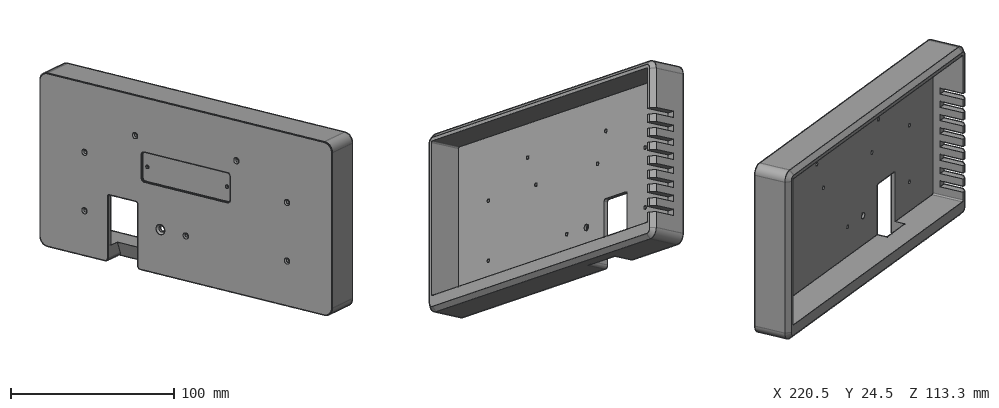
import cadquery as cq
import math

length = 220.5
depth = 24.5
height = 113.3
corner_radius = 6.0
front_chamfer = 0.5
back_chamfer = 2.9

plate_thickness = 3.0
wall_thickness = 5.0
bottom_wall = 10.0

notch_width = 22.0
notch_center_x = -47.6
notch_top_z = -13.0
notch_corner_radius = 1.3
notch_flare_radius = 2.2
notch_floor_depth = 10.0
notch_lean_angle = 22.0

hole_pitch = 38.1
hole_row_z = -27.1
screw_diameter = 2.2
screw_sink_diameter = 4.0
large_diameter = 4.0
large_sink_diameter = 6.6
sink_taper = 45.0

label_length = 66.4
label_height = 19.0
label_center_z = 11.0
label_depth = 1.3
label_corner_radius = 2.2
label_hole_diameter = 2.2
label_hole_spacing = 60.0

vent_count = 8
vent_span = 62.5
vent_height = 4.0
vent_front_margin = 8.2
vent_center_z = -7.5

front_y = -depth / 2
back_y = depth / 2
left_x = -length / 2
bottom_z = -height / 2
floor_z = bottom_z + bottom_wall


def front_sketch(y, x=0.0, z=0.0):
    """Sketch plane whose normal points to +Y; its local axes are -X and +Z."""
    plane = cq.Plane(origin=(x, y, z), xDir=(-1, 0, 0), normal=(0, 1, 0))
    return cq.Workplane(plane)


def outer_body():
    body = cq.Workplane("XY").box(length, depth, height)
    body = body.edges("|Y").fillet(corner_radius)
    return body.faces(">Y").chamfer(back_chamfer)


def cavity():
    cavity_length = length - 2 * wall_thickness
    cavity_top = height / 2 - wall_thickness
    cavity_height = cavity_top - floor_z
    block = front_sketch(front_y + plate_thickness, z=floor_z + cavity_height / 2)
    block = block.rect(cavity_length, cavity_height).extrude(depth)
    return block.edges("|Y").fillet(corner_radius - wall_thickness)


def plate_notch():
    notch_height = notch_top_z - bottom_z
    opening = front_sketch(front_y, notch_center_x, bottom_z + notch_height / 2)
    opening = opening.rect(notch_width, notch_height).extrude(plate_thickness)
    return opening.edges("|Y and >Z").fillet(notch_corner_radius)


def bottom_wall_notch():
    """Cut into the bottom wall with a leaning inner end and flared lower corners."""
    half_width = notch_width / 2
    flared_half_width = half_width + notch_flare_radius
    passage = (
        front_sketch(front_y, notch_center_x, bottom_z)
        .moveTo(-flared_half_width, 0)
        .radiusArc((-half_width, notch_flare_radius), -notch_flare_radius)
        .lineTo(-half_width, bottom_wall)
        .lineTo(half_width, bottom_wall)
        .lineTo(half_width, notch_flare_radius)
        .radiusArc((flared_half_width, 0), -notch_flare_radius)
        .close()
        .extrude(depth)
    )
    inner_top_y = front_y + notch_floor_depth
    inner_bottom_y = inner_top_y + bottom_wall * math.tan(math.radians(notch_lean_angle))
    side_profile = [
        (front_y, floor_z),
        (inner_top_y, floor_z),
        (inner_bottom_y, bottom_z),
        (front_y, bottom_z),
    ]
    reach = cq.Workplane("YZ", origin=(notch_center_x, 0, 0)).polyline(side_profile).close()
    return passage.intersect(reach.extrude(flared_half_width, both=True))


def countersunk_drill(points, diameter, sink_diameter):
    """Cutter for holes through the front plate with a conical entry."""
    sink_depth = (sink_diameter - diameter) / 2
    holes = front_sketch(front_y).pushPoints([(-x, z) for x, z in points])
    shanks = holes.circle(diameter / 2).extrude(plate_thickness)
    cones = holes.circle(sink_diameter / 2).extrude(sink_depth, taper=sink_taper)
    return shanks.union(cones)


def label_recess():
    recess = front_sketch(front_y, z=label_center_z).rect(label_length, label_height)
    return recess.extrude(label_depth).edges("|Y").fillet(label_corner_radius)


def label_holes():
    holes = front_sketch(front_y, z=label_center_z).rarray(label_hole_spacing, 2.2, 2, 1)
    return holes.circle(label_hole_diameter / 2).extrude(plate_thickness)


def vents():
    vent_pitch = vent_span / (vent_count - 1)
    vent_length = depth - vent_front_margin
    slots = cq.Workplane("YZ", origin=(left_x, back_y - vent_length / 2, vent_center_z))
    slots = slots.rarray(2.2, vent_pitch, 1, vent_count)
    return slots.rect(vent_length, vent_height).extrude(wall_thickness)


upper_row_z = hole_row_z + hole_pitch
top_row_z = upper_row_z + hole_pitch / 2
screw_points = [(side * 2 * hole_pitch, z) for side in (-1, 1) for z in (hole_row_z, upper_row_z)]
screw_points += [(side * hole_pitch, top_row_z) for side in (-1, 1)]
screw_points.append((0, hole_row_z))
large_hole_point = (-hole_pitch / 2, hole_row_z)

result = outer_body().cut(cavity())
result = result.cut(plate_notch()).cut(bottom_wall_notch()).cut(label_recess())

result = result.faces("<Y").chamfer(front_chamfer)

result = result.cut(countersunk_drill(screw_points, screw_diameter, screw_sink_diameter))
result = result.cut(countersunk_drill([large_hole_point], large_diameter, large_sink_diameter))
result = result.cut(label_holes()).cut(vents())